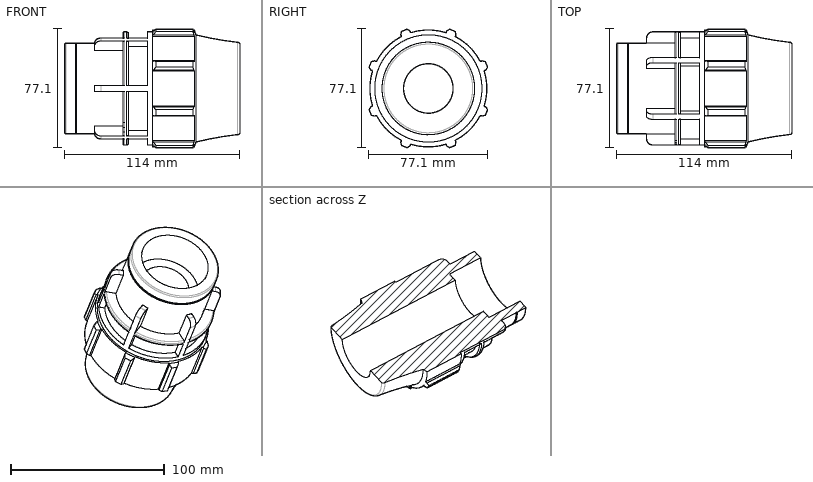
import cadquery as cq
import math

length = 114.0

body_radius = 59.0 / 2
body_edge_round = 0.8
groove_start = 7.1
groove_width = 0.8
groove_depth = 0.3

rim_radius = 73.8 / 2
collar_start = 38.0
collar_end = 41.5
collar_edge_round = 0.9
collar_bevel_length = 1.1
collar_bevel_drop = 0.7
hub_radius = 32.8
flange_start = 53.8

rib_count = 6
rib_width = 4.0
rib_start = 19.4
rib_round = 4.3

nut_radius = 38.1
nut_start = 57.2
nut_end = 84.4
nut_bevel_length = 1.0

lug_count = 8
lug_base = 38.5
lug_shoulder = 39.1
lug_top = 40.9
lug_width = 6.6
lug_top_width = 4.0
lug_front_slope = 2.0

nose_start = nut_end + nut_bevel_length
nose_start_radius = 34.9
nose_end_radius = 30.1
nose_sag = 0.5
nose_lip_length = 1.8
nose_lip_drop = 1.3
lip_start = length - nose_lip_length

socket_diameter = 44.8
socket_depth = 24.5
bore_diameter = 32.0

clearance = 3.4

diagonal = math.sqrt(0.5)


def disc(start, end, radius):
    return cq.Workplane("YZ").workplane(offset=start).circle(radius).extrude(end - start)


def tube(start, end, outer_radius, inner_radius):
    return disc(start, end, outer_radius).cut(disc(start, end, inner_radius))


def revolve_about_x(profile):
    return profile.close().revolve(360, (0, 0, 0), (1, 0, 0))


def turned(shape, angle):
    return shape.rotate((0, 0, 0), (1, 0, 0), angle)


def rib_bars():
    bars = cq.Workplane("XY")
    for i in range(rib_count // 2):
        bar = cq.Workplane("XY").box(length, 2 * lug_top, rib_width, centered=(False, True, True))
        bars = bars.union(turned(bar, i * 360 / rib_count))
    return bars


def spigot_blank():
    round_center_x = rib_start + rib_round
    round_center_r = rim_radius - rib_round
    body = disc(0, nut_start, body_radius).faces("<X").edges().fillet(body_edge_round)
    ring = revolve_about_x(
        cq.Workplane("XY")
        .moveTo(rib_start, 0)
        .lineTo(rib_start, round_center_r)
        .threePointArc(
            (round_center_x - rib_round * diagonal, round_center_r + rib_round * diagonal),
            (round_center_x, rim_radius),
        )
        .lineTo(nut_start, rim_radius)
        .lineTo(nut_start, 0)
    )
    return body.union(ring)


def left_pocket():
    outside = rim_radius + clearance
    round_center_x = collar_start + collar_edge_round
    round_center_r = rim_radius - collar_edge_round
    return revolve_about_x(
        cq.Workplane("XY")
        .moveTo(rib_start, body_radius)
        .lineTo(collar_start, body_radius)
        .lineTo(collar_start, round_center_r)
        .threePointArc(
            (
                round_center_x - collar_edge_round * diagonal,
                round_center_r + collar_edge_round * diagonal,
            ),
            (round_center_x, rim_radius),
        )
        .lineTo(round_center_x, outside)
        .lineTo(rib_start, outside)
    )


def right_pocket():
    outside = rim_radius + clearance
    bevel_start = collar_end - collar_bevel_length
    return revolve_about_x(
        cq.Workplane("XY")
        .moveTo(collar_end, hub_radius)
        .lineTo(collar_end, rim_radius - collar_bevel_drop)
        .lineTo(bevel_start, rim_radius)
        .lineTo(bevel_start, outside)
        .lineTo(flange_start, outside)
        .lineTo(flange_start, hub_radius)
    )


def spigot():
    groove = tube(groove_start, groove_start + groove_width, body_radius, body_radius - groove_depth)
    bars = rib_bars()
    blank = spigot_blank().cut(groove)
    return blank.cut(left_pocket().cut(bars)).cut(right_pocket().cut(bars))


def grip_lug(angle):
    side_outline = (
        cq.Workplane("XZ")
        .polyline([
            (nut_start, hub_radius),
            (nut_start, lug_base),
            (nut_start + lug_front_slope, lug_top),
            (nose_start, lug_top),
            (nose_start, hub_radius),
        ])
        .close()
        .extrude(lug_width, both=True)
    )
    end_outline = (
        cq.Workplane("YZ")
        .polyline([
            (-lug_width / 2, hub_radius),
            (-lug_width / 2, lug_shoulder),
            (-lug_top_width / 2, lug_top),
            (lug_top_width / 2, lug_top),
            (lug_width / 2, lug_shoulder),
            (lug_width / 2, hub_radius),
        ])
        .close()
        .extrude(length)
    )
    return turned(side_outline.intersect(end_outline), angle)


def nut():
    blank = disc(nut_start, nose_start, nut_radius)
    lug_pitch = 360 / lug_count
    for i in range(lug_count):
        blank = blank.union(grip_lug((i + 0.5) * lug_pitch))

    bevel_slope = nut_bevel_length / (nut_radius - nose_start_radius)
    outside = lug_top + clearance
    bevel_envelope = revolve_about_x(
        cq.Workplane("XY")
        .moveTo(0, 0)
        .lineTo(0, outside)
        .lineTo(nose_start - (outside - nose_start_radius) * bevel_slope, outside)
        .lineTo(nose_start, nose_start_radius)
        .lineTo(nose_start, 0)
    )
    return blank.intersect(bevel_envelope)


def nose():
    nose_middle = (
        (nose_start + lip_start) / 2,
        (nose_start_radius + nose_end_radius) / 2 - nose_sag,
    )
    lip_middle = (
        lip_start + nose_lip_length * diagonal,
        nose_end_radius - nose_lip_drop * (1 - diagonal),
    )
    return revolve_about_x(
        cq.Workplane("XY")
        .moveTo(nose_start, 0)
        .lineTo(nose_start, nose_start_radius)
        .threePointArc(nose_middle, (lip_start, nose_end_radius))
        .threePointArc(lip_middle, (length, nose_end_radius - nose_lip_drop))
        .lineTo(length, 0)
    )


fitting = nut().union(nose()).union(spigot())
socket = disc(0, socket_depth, socket_diameter / 2)
bore = disc(0, length, bore_diameter / 2)
result = fitting.cut(socket).cut(bore)